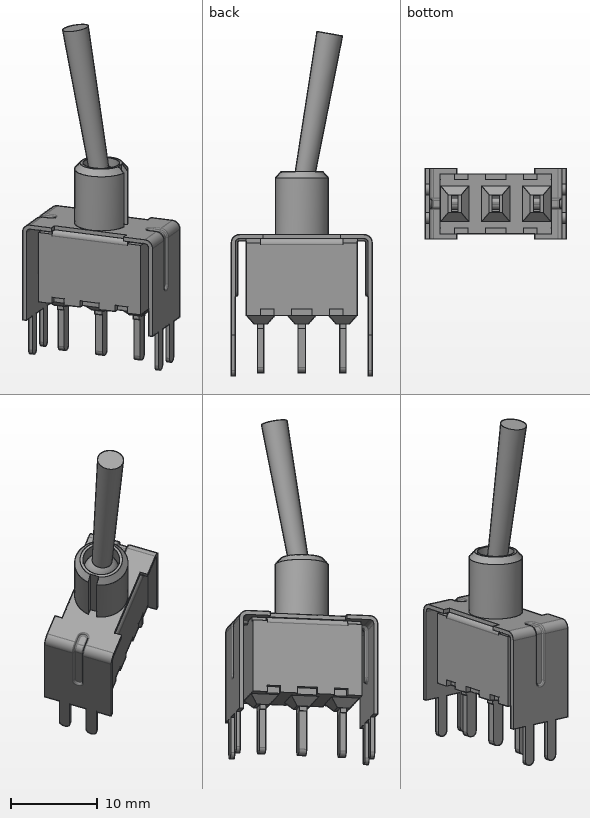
import cadquery as cq
import math


bracket_length = 16.25
bracket_width = 8.15
sheet = 0.48
bend_radius = 0.95
leg_shoulder_z = -11.55
leg_tip_z = -16.32
prong_width = 1.27
prong_spacing = 3.25
plate_notch_length = 8.98
plate_notch_floor_y = 3.18

bead_half_width = 0.68
bead_depth = 0.28
bead_plate_end_x = 5.6
bead_leg_end_z = -7.23

housing_length = 12.8
housing_width = 6.9
housing_bottom_z = -9.35
wall = 0.68
lip_length = 9.45
relief_bottom_z = -0.95
window_height = 0.75
side_window_inner_x = 3.18
middle_window_length = 2.35

terminal_pitch = 4.73
terminal_width = 1.35
side_terminal_thickness = 0.75
middle_terminal_thickness = 0.9
terminal_tip_z = -15.93
terminal_corner_radius = 0.6
collar_width = 1.75
collar_bottom_z = -10.85
seal_bottom_z = -10.33
seal_top_length = 3.25
seal_top_width = 4.15
seal_bottom_length = 1.5
seal_bottom_width = 2.05

bushing_diameter = 6.15
bushing_top_z = 7.23
bushing_chamfer_height = 0.7
bushing_chamfer_width = 0.65
keyway_width = 1.05
keyway_floor_x = 2.35

ball_diameter = 4.2
pivot_z = 4.85
lever_tilt = 10.0
overall_height = 39.72
lever_root_radius = 1.1
lever_tip_radius = 1.5

half_length = bracket_length / 2
lever_tip_z = leg_tip_z + overall_height
ball_radius = ball_diameter / 2
bushing_radius = bushing_diameter / 2


def block(length, width, bottom_z, top_z, x=0.0, y=0.0):
    """Box centred on (x, y) between two heights."""
    return cq.Workplane("XY").box(length, width, top_z - bottom_z, centered=(True, True, False)).translate(
        (x, y, bottom_z)
    )


def on_both_ends(left_end):
    """Pair a shape at the -X end with its mirror image at the +X end."""
    return left_end.union(left_end.mirror("YZ"))


def channel(inset, bottom_z):
    """Solid inverted-U outline, inset from the outer faces of the bracket by the given depth."""
    length = bracket_length - 2 * inset
    return (
        block(length, bracket_width, bottom_z, -inset)
        .edges("|Y and >Z")
        .fillet(bend_radius - inset)
    )


def bead_half_profile(plane_name, origin):
    """Half profile of a bead: S-shaped wall of two tangent quarter arcs."""
    round_radius = bead_depth / 2
    diagonal = round_radius * math.sqrt(0.5)
    shoulder = bead_half_width - round_radius
    floor = shoulder - round_radius
    return (
        cq.Workplane(plane_name, origin=origin)
        .lineTo(bead_half_width, 0)
        .threePointArc((bead_half_width - diagonal, diagonal - round_radius), (shoulder, -round_radius))
        .threePointArc((floor + diagonal, -round_radius - diagonal), (floor, -bead_depth))
        .lineTo(0, -bead_depth)
    )


def bead(inset):
    """Round-ended bead that follows the left bend, sunk from a surface inset from the outer faces."""
    side_x = -half_length + inset
    bend_x = -half_length + bend_radius
    radius = bend_radius - inset
    start_x = -bead_plate_end_x - bead_half_width
    end_z = bead_leg_end_z + bead_half_width
    arc_mid = (bend_x - radius * math.sqrt(0.5), -bend_radius + radius * math.sqrt(0.5))
    path = (
        cq.Workplane("XZ")
        .moveTo(start_x, -inset)
        .lineTo(bend_x, -inset)
        .threePointArc(arc_mid, (side_x, -bend_radius))
        .lineTo(side_x, end_z)
    )
    half_run = bead_half_profile("YZ", (start_x, 0, -inset)).close().sweep(path)
    run = half_run.union(half_run.mirror("XZ"))
    end_cap = bead_half_profile("XZ", (0, 0, 0)).close().revolve(360, (0, 0), (0, 1))
    plate_end = end_cap.translate((start_x, 0, -inset))
    leg_end = end_cap.rotate((0, 0, 0), (0, 1, 0), -90).translate((side_x, 0, end_z))
    return run.union(plate_end).union(leg_end)


def leg_prong(y):
    """Round-ended solder prong below the left bracket leg."""
    tip_radius = prong_width / 2
    prong = block(sheet, prong_width, leg_tip_z, leg_shoulder_z, -half_length + sheet / 2, y)
    tip_center = cq.Vector(-half_length, y, leg_tip_z + tip_radius)
    round_tip = cq.Solid.makeCylinder(tip_radius, sheet, tip_center, cq.Vector(1, 0, 0))
    square_tip = block(sheet, prong_width, leg_tip_z, leg_tip_z + tip_radius, -half_length + sheet / 2, y)
    return prong.cut(square_tip).union(cq.Workplane(round_tip))


def make_bracket():
    """Inverted-U sheet with edge notches, pressed beads and four prongs."""
    bracket = channel(0, leg_shoulder_z).cut(channel(sheet, leg_shoulder_z))
    notch_depth = bracket_width / 2 - plate_notch_floor_y
    for side in (-1, 1):
        notch_y = side * (plate_notch_floor_y + notch_depth / 2)
        bracket = bracket.cut(block(plate_notch_length, notch_depth, -sheet, 0, 0, notch_y))
    bracket = bracket.union(on_both_ends(bead(sheet))).cut(on_both_ends(bead(0)))
    for side in (-1, 1):
        bracket = bracket.union(on_both_ends(leg_prong(side * prong_spacing / 2)))
    return bracket


def make_lip_rounding(side):
    """Waste outside the quarter-round of one lip, on the middle stretch of a top edge."""
    corner = block(lip_length, wall, -sheet - wall, -sheet, 0, side * (housing_width - wall) / 2)
    round_center = cq.Vector(-lip_length / 2, side * (housing_width / 2 - wall), -sheet - wall)
    lip = cq.Solid.makeCylinder(wall, lip_length, round_center, cq.Vector(1, 0, 0))
    return corner.cut(cq.Workplane(lip))


def make_case():
    """Housing block with rounded top lips, corner reliefs and three windows along each lower edge."""
    case = block(housing_length, housing_width, housing_bottom_z, -sheet)
    relief_length = (housing_length - lip_length) / 2
    relief_x = (lip_length + relief_length) / 2
    side_window_length = lip_length / 2 - side_window_inner_x
    side_window_x = side_window_inner_x + side_window_length / 2
    window_top_z = housing_bottom_z + window_height
    windows = [
        (-side_window_x, side_window_length),
        (0, middle_window_length),
        (side_window_x, side_window_length),
    ]
    for side in (-1, 1):
        wall_y = side * (housing_width - wall) / 2
        case = case.cut(make_lip_rounding(side))
        for x in (-relief_x, relief_x):
            case = case.cut(block(relief_length, wall, relief_bottom_z, -sheet, x, wall_y))
        for x, length in windows:
            case = case.cut(block(length, wall, housing_bottom_z, window_top_z, x, wall_y))
    return case


def make_terminal(x, thickness):
    """Flat terminal with rounded tip corners, a collar and a tapered mound of sealant."""
    blade = (
        block(thickness, terminal_width, terminal_tip_z, housing_bottom_z, x)
        .edges("|X and <Z")
        .fillet(terminal_corner_radius)
    )
    collar = block(thickness, collar_width, collar_bottom_z, housing_bottom_z, x)
    seal = (
        cq.Workplane("XY", origin=(x, 0, housing_bottom_z))
        .rect(seal_top_length, seal_top_width)
        .workplane(offset=seal_bottom_z - housing_bottom_z)
        .rect(seal_bottom_length, seal_bottom_width)
        .loft()
    )
    return blade.union(collar).union(seal)


def make_bushing():
    """Round bushing with a chamfered mouth and a keyway on the +X side."""
    bushing = (
        cq.Workplane("XY", origin=(0, 0, -sheet))
        .circle(bushing_radius)
        .extrude(bushing_top_z + sheet)
        .faces(">Z")
        .chamfer(bushing_chamfer_height, bushing_chamfer_width)
    )
    keyway_depth = bushing_radius - keyway_floor_x
    keyway_x = keyway_floor_x + keyway_depth / 2
    return bushing.cut(block(keyway_depth, keyway_width, 0, bushing_top_z, keyway_x))


def make_socket():
    """Bore that ends in a spherical seat for the lever ball."""
    bore = cq.Workplane("XY", origin=(0, 0, pivot_z)).circle(ball_radius).extrude(bushing_top_z - pivot_z)
    return bore.union(cq.Workplane("XY", origin=(0, 0, pivot_z)).sphere(ball_radius))


def make_switch_body():
    """Bracket, case, terminals and bushing as one fixed body."""
    body = make_bracket().union(make_case()).union(make_bushing())
    terminals = [
        (-terminal_pitch, side_terminal_thickness),
        (0, middle_terminal_thickness),
        (terminal_pitch, side_terminal_thickness),
    ]
    for x, thickness in terminals:
        body = body.union(make_terminal(x, thickness))
    return body.cut(make_socket())


def make_lever():
    """Ball and flared handle, tilted towards -X about the ball centre."""
    tilt = math.radians(lever_tilt)
    reach = (lever_tip_z - pivot_z - lever_tip_radius * math.sin(tilt)) / math.cos(tilt)
    handle = cq.Solid.makeCone(lever_root_radius, lever_tip_radius, reach)
    lever = cq.Workplane("XY").sphere(ball_radius).union(cq.Workplane(handle))
    return lever.rotate((0, 0, 0), (0, 1, 0), -lever_tilt).translate((0, 0, pivot_z))


switch_body = make_switch_body()
lever = make_lever()

result = cq.Compound.makeCompound([switch_body.solids().val(), lever.solids().val()])